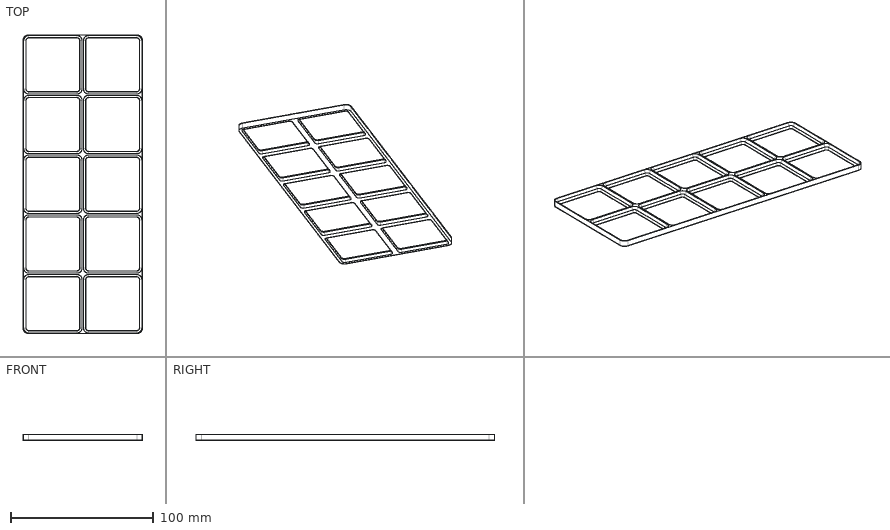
import cadquery as cq

cell_pitch = 42.0
columns = 2
rows = 5
height = 4.2
outer_corner_radius = 4.0

rim_half_width = 0.48
flare = 1.7
straight_height = height - flare

top_opening = cell_pitch - 2 * rim_half_width
top_corner_radius = outer_corner_radius - rim_half_width
bottom_opening = top_opening - 2 * flare
bottom_corner_radius = top_corner_radius - flare


def rounded_square(side, corner_radius):
    """Flat rounded square centred on the origin."""
    return cq.Sketch().rect(side, side).vertices().fillet(corner_radius)


def cell_opening():
    """Solid that cuts one cell: a straight shaft with a flared mouth."""
    bottom_outline = rounded_square(bottom_opening, bottom_corner_radius)
    top_outline = rounded_square(top_opening, top_corner_radius)
    shaft = cq.Workplane("XY").placeSketch(bottom_outline).extrude(straight_height)
    mouth = (
        cq.Workplane("XY")
        .workplane(offset=straight_height)
        .placeSketch(bottom_outline, top_outline.moved(cq.Location(cq.Vector(0, 0, flare))))
        .loft()
    )
    return shaft.union(mouth)


frame = (
    cq.Workplane("XY")
    .box(columns * cell_pitch, rows * cell_pitch, height, centered=(True, True, False))
    .edges("|Z")
    .fillet(outer_corner_radius)
)

opening = cell_opening()
for column in range(columns):
    for row in range(rows):
        x = (column - (columns - 1) / 2) * cell_pitch
        y = (row - (rows - 1) / 2) * cell_pitch
        frame = frame.cut(opening.translate((x, y, 0)))

result = frame